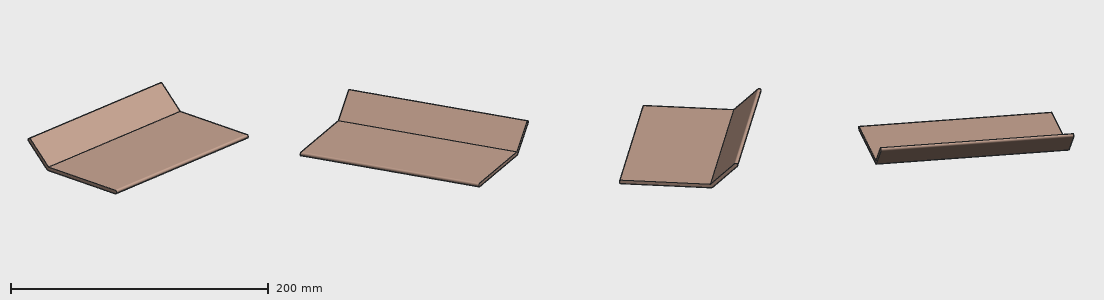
import cadquery as cq
import math

width = 92.7
length = 152.4
height = 21.6

thickness = 3.0
bend_angle = math.radians(44.0)
edge_radius = thickness / 2

along = (-math.cos(bend_angle), math.sin(bend_angle))
outward = (-math.sin(bend_angle), -math.cos(bend_angle))

tip_center = (-width / 2 + edge_radius, height - edge_radius)


def from_tip(direction, distance):
    return (
        tip_center[0] + distance * direction[0],
        tip_center[1] + distance * direction[1],
    )


tip_outer = from_tip(outward, edge_radius)
tip_end = from_tip(along, edge_radius)
tip_inner = from_tip(outward, -edge_radius)

inner_bend_x = tip_inner[0] + (tip_inner[1] - thickness) / math.tan(bend_angle)


def around_bend(angle):
    return (
        inner_bend_x - thickness * math.sin(angle),
        thickness - thickness * math.cos(angle),
    )


plate_end_x = width / 2 - edge_radius
result = (
    cq.Workplane("XZ")
    .moveTo(inner_bend_x, 0)
    .lineTo(plate_end_x, 0)
    .threePointArc((width / 2, edge_radius), (plate_end_x, thickness))
    .lineTo(inner_bend_x, thickness)
    .lineTo(*tip_inner)
    .threePointArc(tip_end, tip_outer)
    .lineTo(*around_bend(bend_angle))
    .threePointArc(around_bend(bend_angle / 2), (inner_bend_x, 0))
    .close()
    .extrude(length / 2, both=True)
)